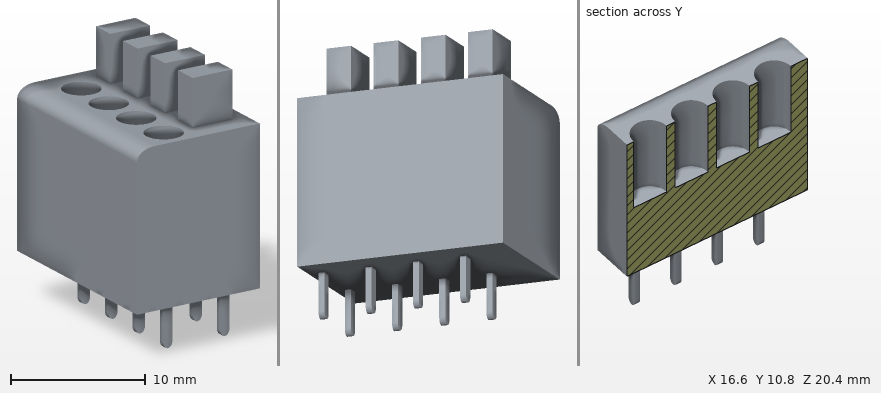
import cadquery as cq

BODY_WIDTH = 16.58
BODY_DEPTH = 10.8
BODY_HEIGHT = 13.0
ROUND_DEPTH = 1.51
ROUND_HEIGHT = 1.0

POLE_COUNT = 4
POLE_PITCH = 3.8

BUTTON_WIDTH = 1.98
BUTTON_DEPTH = 3.5
BUTTON_HEIGHT = 3.95
FIRST_BUTTON_X = 2.35
BUTTON_Y = BODY_DEPTH - 3.0

HOLE_DIAMETER = 3.0
HOLE_DEPTH = BODY_HEIGHT / 2
FIRST_HOLE_X = 3.05
HOLE_Y = 3.7

PIN_THICKNESS = 0.5
PIN_WIDTH = 0.8
PIN_LENGTH = 20.45 - BODY_HEIGHT - BUTTON_HEIGHT
PIN_TIP_HEIGHT = 0.53
FIRST_PIN_X = 4.13
FRONT_PIN_Y = 3.23
PIN_ROW_SPACING = 5.01


def pole_points(first_x, y):
    """Plan positions of one feature repeated on every pole."""
    return [(first_x + i * POLE_PITCH, y) for i in range(POLE_COUNT)]


def make_body():
    """Side profile with a quarter ellipse at the top front, extruded along X."""
    return (
        cq.Workplane("YZ")
        .lineTo(BODY_DEPTH, 0)
        .lineTo(BODY_DEPTH, BODY_HEIGHT)
        .lineTo(ROUND_DEPTH, BODY_HEIGHT)
        .ellipseArc(ROUND_DEPTH, ROUND_HEIGHT, 90, 180, startAtCurrent=True)
        .close()
        .extrude(BODY_WIDTH)
    )


def make_buttons():
    return (
        cq.Workplane("XY", origin=(0, 0, BODY_HEIGHT))
        .pushPoints(pole_points(FIRST_BUTTON_X, BUTTON_Y))
        .rect(BUTTON_WIDTH, BUTTON_DEPTH)
        .extrude(BUTTON_HEIGHT)
    )


def make_wire_holes():
    return (
        cq.Workplane("XY", origin=(0, 0, BODY_HEIGHT))
        .pushPoints(pole_points(FIRST_HOLE_X, HOLE_Y))
        .circle(HOLE_DIAMETER / 2)
        .extrude(-HOLE_DEPTH)
    )


def make_pin(x, y):
    """Flat pin hanging below the housing, ending in half an ellipse."""
    half_width = PIN_WIDTH / 2
    tip_start_z = PIN_TIP_HEIGHT - PIN_LENGTH
    return (
        cq.Workplane("YZ", origin=(x - PIN_THICKNESS / 2, y, 0))
        .moveTo(half_width, 0)
        .lineTo(-half_width, 0)
        .lineTo(-half_width, tip_start_z)
        .ellipseArc(half_width, PIN_TIP_HEIGHT, 180, 360, startAtCurrent=True)
        .close()
        .extrude(PIN_THICKNESS)
    )


result = make_body().cut(make_wire_holes()).union(make_buttons())
for row_y in (FRONT_PIN_Y, FRONT_PIN_Y + PIN_ROW_SPACING):
    for pin_x, pin_y in pole_points(FIRST_PIN_X, row_y):
        result = result.union(make_pin(pin_x, pin_y))